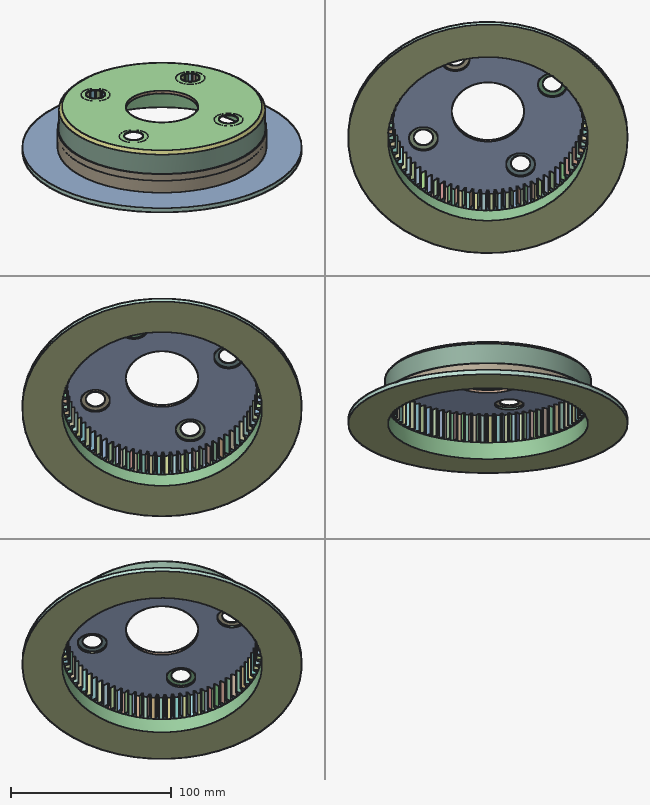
import cadquery as cq
import math

disc_diameter = 174.0
disc_thickness = 3.0
inner_diameter = 124.5
collar_diameter = 130.2
collar_bore = 129.0
collar_top = 15.8
seat_height = 11.0

hat_diameter = 128.5
hat_top = 31.0
wall_thickness = (hat_diameter - inner_diameter) / 2
hat_chamfer = wall_thickness
plate_underside = hat_top - wall_thickness
centre_hole_diameter = 45.0

bolt_count = 4
bolt_circle_diameter = 90.0
bolt_hole_diameter = 12.0
bolt_counterbore_diameter = 18.0
bolt_lip_thickness = 0.6

tooth_count = 80
tooth_depth = 3.0
tooth_tip_diameter = inner_diameter - 2 * tooth_depth
tooth_tip_share = 0.19
tooth_root_share = 0.53


def polar_point(diameter, angle):
    return (diameter / 2 * math.cos(angle), diameter / 2 * math.sin(angle))


def cylinder(diameter, bottom, top):
    return cq.Workplane("XY").workplane(offset=bottom).circle(diameter / 2).extrude(top - bottom)


def bolt_cylinders(diameter, top):
    """One cylinder per wheel bolt, from the open end of the hat up to the given height."""
    return (
        cq.Workplane("XY")
        .workplane(offset=seat_height)
        .polarArray(bolt_circle_diameter / 2, 0, 360, bolt_count)
        .circle(diameter / 2)
        .extrude(top - seat_height)
    )


def toothed_cavity():
    """Inside of the hat: a bore whose outline steps inward around each tooth."""
    pitch = 2 * math.pi / tooth_count
    tip_half_angle = pitch * tooth_tip_share / 2
    root_half_angle = pitch * tooth_root_share / 2
    outline = cq.Workplane("XY").workplane(offset=seat_height)
    outline = outline.moveTo(*polar_point(inner_diameter, -root_half_angle))
    for i in range(tooth_count):
        centre = i * pitch
        next_centre = centre + pitch
        outline = (
            outline
            .lineTo(*polar_point(tooth_tip_diameter, centre - tip_half_angle))
            .lineTo(*polar_point(tooth_tip_diameter, centre + tip_half_angle))
            .lineTo(*polar_point(inner_diameter, centre + root_half_angle))
            .threePointArc(
                polar_point(inner_diameter, centre + pitch / 2),
                polar_point(inner_diameter, next_centre - root_half_angle),
            )
        )
    return outline.close().extrude(plate_underside - seat_height)


def make_disc():
    disc = cylinder(disc_diameter, 0, disc_thickness)
    disc = disc.union(cylinder(collar_diameter, 0, collar_top))
    disc = disc.cut(cylinder(inner_diameter, 0, seat_height))
    return disc.cut(cylinder(collar_bore, seat_height, collar_top))


def make_hat():
    hat = cylinder(hat_diameter, seat_height, hat_top)
    hat = hat.faces(">Z").edges().chamfer(hat_chamfer)
    hat = hat.cut(toothed_cavity())
    hat = hat.cut(cylinder(centre_hole_diameter, seat_height, hat_top))
    hat = hat.cut(bolt_cylinders(bolt_hole_diameter, hat_top))
    return hat.cut(bolt_cylinders(bolt_counterbore_diameter, hat_top - bolt_lip_thickness))


disc = make_disc()
hat = make_hat()

result = cq.Compound.makeCompound([*disc.solids().vals(), *hat.solids().vals()])